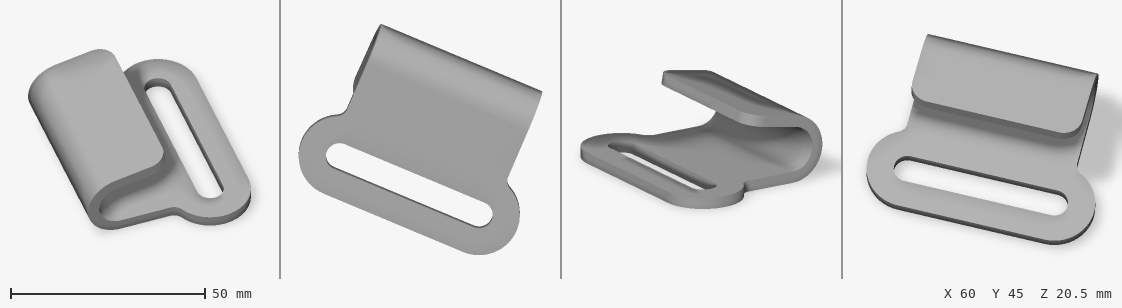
import cadquery as cq
import math

overall_width = 60.0
overall_depth = 45.0
thickness = 3.0
body_width = 45.0
end_radius = 10.5
slot_width = 7.0
neck_fillet_radius = 3.0
bend_outer_radius = 9.0
lip_angle = 10.0
lip_length = 14.9
lip_corner_radius = 5.0

half_body = body_width / 2
end_spacing = overall_width - 2 * end_radius
end_x = end_spacing / 2
bend_inner_radius = bend_outer_radius - thickness
bend_y = end_radius - overall_depth + bend_outer_radius
bend_z = bend_outer_radius


def make_neck_web():
    """Flat body running from the rounded head to the bend, with concave fillets at the neck."""
    fillet_x = half_body + neck_fillet_radius
    centre_distance = end_radius + neck_fillet_radius
    offset_x = fillet_x - end_x
    fillet_y = -math.sqrt(centre_distance**2 - offset_x**2)
    contact_ratio = end_radius / centre_distance
    contact_x = end_x + offset_x * contact_ratio
    contact_y = fillet_y * contact_ratio
    contact_angle = math.atan2(-fillet_y, -offset_x)
    middle_angle = (contact_angle + math.pi) / 2
    middle_x = fillet_x + neck_fillet_radius * math.cos(middle_angle)
    middle_y = fillet_y + neck_fillet_radius * math.sin(middle_angle)
    return (
        cq.Workplane("XY")
        .moveTo(-half_body, bend_y)
        .lineTo(half_body, bend_y)
        .lineTo(half_body, fillet_y)
        .threePointArc((middle_x, middle_y), (contact_x, contact_y))
        .lineTo(end_x, 0)
        .lineTo(-end_x, 0)
        .lineTo(-contact_x, contact_y)
        .threePointArc((-middle_x, middle_y), (-half_body, fillet_y))
        .close()
        .extrude(thickness)
    )


def make_plate():
    """Rounded head and flat body, pierced by the strap slot."""
    head = cq.Workplane("XY").slot2D(overall_width, 2 * end_radius).extrude(thickness)
    slot = cq.Workplane("XY").slot2D(end_spacing + slot_width, slot_width).extrude(thickness)
    return head.union(make_neck_web()).cut(slot)


def make_hook():
    """Bend and rising lip, as a side profile extruded across the body width."""
    tilt = math.radians(lip_angle)

    def lip_point(radius, distance):
        """Point along the lip, on the face continuing the bend arc of this radius."""
        return (
            bend_y - radius * math.sin(tilt) + distance * math.cos(tilt),
            bend_z + radius * math.cos(tilt) + distance * math.sin(tilt),
        )

    hook = (
        cq.Workplane("YZ")
        .moveTo(bend_y, 0)
        .threePointArc((bend_y - bend_outer_radius, bend_z), lip_point(bend_outer_radius, 0))
        .lineTo(*lip_point(bend_outer_radius, lip_length))
        .lineTo(*lip_point(bend_inner_radius, lip_length))
        .lineTo(*lip_point(bend_inner_radius, 0))
        .threePointArc((bend_y - bend_inner_radius, bend_z), (bend_y, thickness))
        .close()
        .extrude(half_body, both=True)
    )
    return hook.faces(">Y").edges("not |X").fillet(lip_corner_radius)


result = make_plate().union(make_hook())